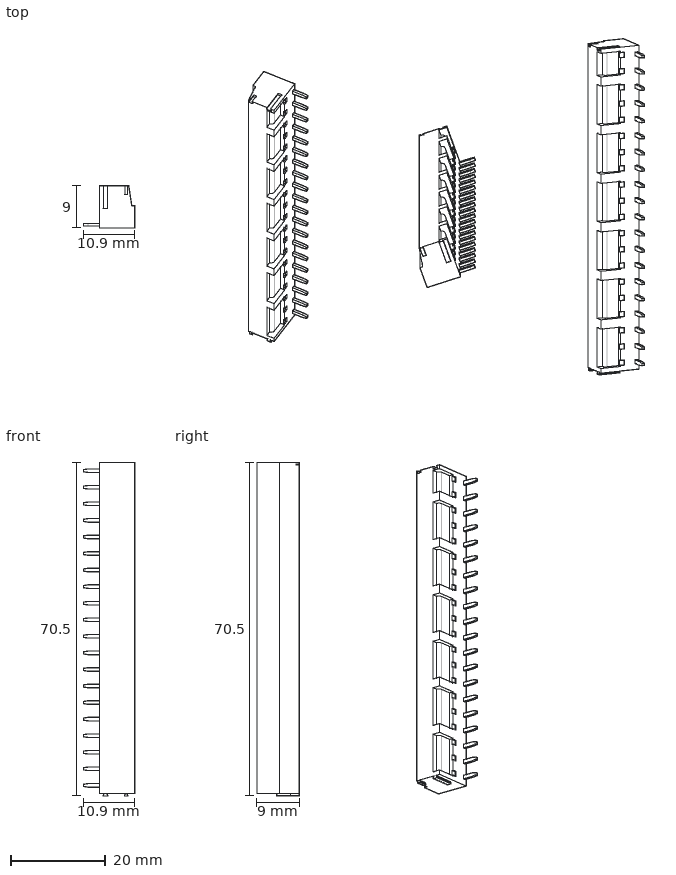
import cadquery as cq

POLES = 20
PITCH = 3.5

BODY_WIDTH = 7.5
BODY_DEPTH = 9.0
BODY_HEIGHT = POLES * PITCH
STEP_Y = 4.75
STEP_X = 6.85
SLOPE_END_X = 6.2

WALL_SPACING = 3 * PITCH
FIRST_WALL_DROP = 2 * PITCH
WALL_COUNT = 7
WALL_THICKNESS = 2.0
TOP_WALL_THICKNESS = 0.9
WINDOW_START_Y = 4.4
WINDOW_SHALLOW = 1.0
WINDOW_DEEP = 1.75
WINDOW_FULL_DEPTH_Y = 7.8
WINDOW_ROUND = WINDOW_DEEP - WINDOW_SHALLOW

NOTCH_WIDTH = 1.1
NOTCH_LENGTH = 0.95
NOTCH_DEPTH = 0.3

PIN_LENGTH = 3.4
PIN_WIDTH = 0.8
PIN_THICKNESS = 0.6
PIN_Y = 0.7
PIN_TIP_WIDTH = 0.5
PIN_TIP_LENGTH = 1.0

RAIL_HEIGHT = 0.55
RAIL_HEAD_HEIGHT = 0.2
RAIL_FLARE = 0.2
GROOVE_CLEARANCE = 0.1
WIDE_RAIL = (0.95, 0.6, 4.85)
NARROW_RAIL = (5.45, 0.35, 1.9)


def pole_heights():
    """Z of every pole centre, from the bottom up."""
    return [(index + 0.5) * PITCH for index in range(POLES)]


def make_housing():
    """Stepped and sloped profile, extruded over the full height."""
    return (
        cq.Workplane("XY")
        .polyline([
            (0, 0),
            (BODY_WIDTH, 0),
            (BODY_WIDTH, STEP_Y),
            (STEP_X, STEP_Y),
            (SLOPE_END_X, BODY_DEPTH),
            (0, BODY_DEPTH),
        ])
        .close()
        .extrude(BODY_HEIGHT)
    )


def make_window(bottom, top):
    """Cutter for one window, shallow at first and then rounded off to its full depth."""
    return (
        cq.Workplane("XY")
        .workplane(offset=bottom)
        .moveTo(0, WINDOW_START_Y)
        .lineTo(WINDOW_SHALLOW, WINDOW_START_Y)
        .lineTo(WINDOW_SHALLOW, WINDOW_FULL_DEPTH_Y - WINDOW_ROUND)
        .radiusArc((WINDOW_DEEP, WINDOW_FULL_DEPTH_Y), WINDOW_ROUND)
        .lineTo(WINDOW_DEEP, BODY_DEPTH)
        .lineTo(0, BODY_DEPTH)
        .close()
        .extrude(top - bottom)
    )


def window_spans():
    """Bottom and top of every window, from the top face down."""
    spans = []
    top = BODY_HEIGHT - TOP_WALL_THICKNESS
    for index in range(WALL_COUNT):
        wall_center = BODY_HEIGHT - FIRST_WALL_DROP - index * WALL_SPACING
        spans.append((wall_center + WALL_THICKNESS / 2, top))
        top = wall_center - WALL_THICKNESS / 2
    return spans


def make_notch(height):
    """Cutter for a shallow notch beside the window edge; its other half lies in the window."""
    return (
        cq.Workplane("XY")
        .workplane(offset=height - NOTCH_WIDTH / 2)
        .moveTo(0, WINDOW_START_Y)
        .rect(2 * NOTCH_DEPTH, 2 * NOTCH_LENGTH)
        .extrude(NOTCH_WIDTH)
    )


def make_pin(height):
    """Flat pin whose tip narrows in Z only."""
    taper_start = PIN_TIP_LENGTH - PIN_LENGTH
    return (
        cq.Workplane("XZ", origin=(0, PIN_Y - PIN_THICKNESS / 2, height))
        .polyline([
            (0, -PIN_WIDTH / 2),
            (taper_start, -PIN_WIDTH / 2),
            (-PIN_LENGTH, -PIN_TIP_WIDTH / 2),
            (-PIN_LENGTH, PIN_TIP_WIDTH / 2),
            (taper_start, PIN_WIDTH / 2),
            (0, PIN_WIDTH / 2),
        ])
        .close()
        .extrude(-PIN_THICKNESS)
    )


def make_dovetail(profile, face_height, clearance=0):
    """Bar below the given height whose flanks flare out from the neck to an upright head."""
    start, neck_width, length = profile
    neck_left = start - clearance
    neck_right = start + neck_width + clearance
    head_left = neck_left - RAIL_FLARE
    head_right = neck_right + RAIL_FLARE
    flare_end = RAIL_HEAD_HEIGHT - RAIL_HEIGHT
    return (
        cq.Workplane("XZ", origin=(0, BODY_DEPTH, face_height))
        .polyline([
            (neck_left, 0),
            (head_left, flare_end),
            (head_left, -RAIL_HEIGHT),
            (head_right, -RAIL_HEIGHT),
            (head_right, flare_end),
            (neck_right, 0),
        ])
        .close()
        .extrude(length)
    )


result = make_housing()
for window_bottom, window_top in window_spans():
    result = result.cut(make_window(window_bottom, window_top))
for pole_height in pole_heights():
    result = result.cut(make_notch(pole_height))
    result = result.union(make_pin(pole_height))
for rail_profile in (WIDE_RAIL, NARROW_RAIL):
    result = result.cut(make_dovetail(rail_profile, BODY_HEIGHT, GROOVE_CLEARANCE))
    result = result.union(make_dovetail(rail_profile, 0))